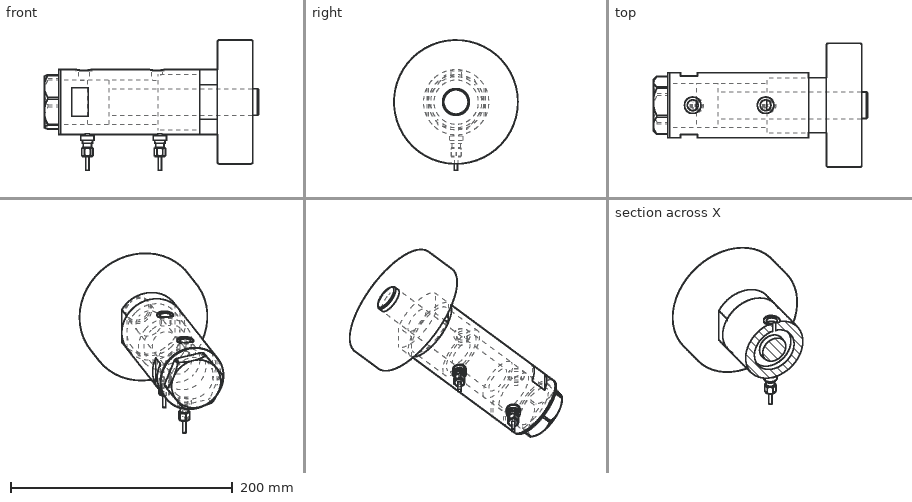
import cadquery as cq
import math


overall_length = 193.5
collar_start = 13.0
housing_start = 14.7
plug_end = 38.7
gland_start = 102.3
housing_end = 140.2
flange_start = 156.0
flange_end = 188.2

barrel_diameter = 59.0
bore_diameter = 40.0
gland_bore_diameter = 49.9
rod_diameter = 24.2
flange_diameter = 112.0

hex_across_flats = 46.0
hex_corner_diameter = 52.2
hex_chamfer = 3.0
hex_tilt = -7.5

flange_edge_radius = 2.0
rod_end_chamfer = 1.2

piston_length = 19.3

housing_flat_start = 24.5
housing_flat_end = 39.8
housing_flat_width = 53.0
gland_flat_width = 49.9

port_positions = [35.5, 101.4]
port_diameter = 9.7
port_face_diameter = 14.9
port_face_height = 28.2

sensor_positions = [38.9, 104.3]
collar_diameter = 12.4
pad_bottom = 30.5
collar_bottom = 34.6
shoulder_diameter = 9.3
shoulder_bottom = 37.1
stem_diameter = 7.7
stem_bottom = 41.0
nut_across_flats = 9.3
nut_corner_diameter = 10.5
nut_chamfer = 1.2
nut_bottom = 49.3
cable_diameter = 3.0
overall_height = 117.8
cable_bottom = overall_height - flange_diameter / 2


def cylinder_x(diameter, start, end):
    """Cylinder on the X axis between two stations."""
    return cq.Workplane("YZ", origin=(start, 0, 0)).circle(diameter / 2).extrude(end - start)


def cylinder_z(diameter, x, bottom, top):
    """Upright cylinder centred at X = x, Y = 0."""
    return cq.Workplane("XY", origin=(x, 0, bottom)).circle(diameter / 2).extrude(top - bottom)


def hexagon(plane, origin, across_flats, length):
    """Hexagonal prism with two corners on the plane's local X axis."""
    across_corners = across_flats / math.cos(math.pi / 6)
    return cq.Workplane(plane, origin=origin).polygon(6, across_corners).extrude(length)


def flats_cutter(width, start, end):
    """Two blocks that leave a pair of flats the given width apart."""
    block_depth = barrel_diameter
    cutter = cq.Workplane("XY")
    for side in (-1, 1):
        block = cq.Workplane("XY").box(end - start, block_depth, 2 * barrel_diameter)
        cutter = cutter.add(block.translate(((start + end) / 2, side * (width + block_depth) / 2, 0)))
    return cutter.combine()


def make_plug():
    head = hexagon("YZ", (0, 0, 0), hex_across_flats, collar_start)
    head = head.rotate((0, 0, 0), (1, 0, 0), hex_tilt)
    trim = cylinder_x(hex_corner_diameter, 0, collar_start).faces("<X").chamfer(hex_chamfer)
    collar = cylinder_x(barrel_diameter, collar_start, housing_start)
    spigot = cylinder_x(bore_diameter, housing_start, plug_end)
    return head.intersect(trim).union(collar).union(spigot)


def make_housing():
    housing = cylinder_x(barrel_diameter, housing_start, housing_end)
    for x in sensor_positions:
        housing = housing.union(cylinder_z(collar_diameter, x, -pad_bottom, -bore_diameter / 2))
    housing = housing.cut(cylinder_x(bore_diameter, housing_start, gland_start))
    housing = housing.cut(cylinder_x(gland_bore_diameter, gland_start, housing_end))
    housing = housing.cut(flats_cutter(housing_flat_width, housing_flat_start, housing_flat_end))
    for x in port_positions:
        housing = housing.cut(cylinder_z(port_face_diameter, x, port_face_height, barrel_diameter))
        housing = housing.cut(cylinder_z(port_diameter, x, 0, barrel_diameter))
    return housing


def make_gland():
    spigot = cylinder_x(gland_bore_diameter, gland_start, housing_end)
    head = cylinder_x(barrel_diameter, housing_end, flange_start)
    head = head.cut(flats_cutter(gland_flat_width, housing_end, flange_start))
    return spigot.union(head).cut(cylinder_x(rod_diameter, gland_start, flange_start))


def make_piston_rod():
    piston = cylinder_x(bore_diameter, plug_end, plug_end + piston_length)
    rod = cylinder_x(rod_diameter, plug_end, overall_length).faces(">X").chamfer(rod_end_chamfer)
    return piston.union(rod)


def make_flange():
    disc = cylinder_x(flange_diameter, flange_start, flange_end).edges().fillet(flange_edge_radius)
    return disc.cut(cylinder_x(rod_diameter, flange_start, flange_end))


def make_sensor(x):
    collar = cylinder_z(collar_diameter, x, -collar_bottom, -pad_bottom)
    shoulder = cylinder_z(shoulder_diameter, x, -shoulder_bottom, -collar_bottom)
    stem = cylinder_z(stem_diameter, x, -stem_bottom, -shoulder_bottom)
    nut = hexagon("XY", (x, 0, -nut_bottom), nut_across_flats, nut_bottom - stem_bottom)
    nut_trim = cylinder_z(nut_corner_diameter, x, -nut_bottom, -stem_bottom).edges().chamfer(nut_chamfer)
    cable = cylinder_z(cable_diameter, x, -cable_bottom, -nut_bottom)
    return collar.union(shoulder).union(stem).union(nut.intersect(nut_trim)).union(cable)


plug = make_plug()
housing = make_housing()
gland = make_gland()
piston_rod = make_piston_rod()
flange = make_flange()
sensors = [make_sensor(x).val() for x in sensor_positions]

result = cq.Compound.makeCompound(
    [plug.val(), housing.val(), gland.val(), piston_rod.val(), flange.val(), *sensors]
)